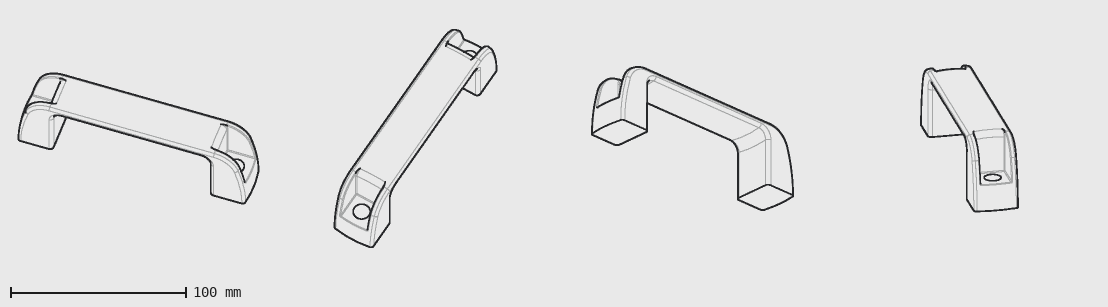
import cadquery as cq
import math

length = 138.8
width = 26.0
height = 41.0

shoulder_inset = 19.8
shoulder_radius = 16.0
crown_drop = 1.2
outer_round = 1.8

opening_length = 94.7
opening_height = 34.0
opening_corner = 5.5
inner_round = 2.2

pocket_back = 50.1
pocket_width = 18.0
pocket_floor = 16.0
pocket_round = 0.5
pocket_lip_round = 3.5
rim_round = 0.49

dome_offset = 58.5
dome_diameter = 9.7
dome_height = 1.2

half_length = length / 2
half_width = width / 2
margin = 1.4
small_gap = 0.1


def arc_middle(center, radius, start_angle, end_angle):
    angle = (start_angle + end_angle) / 2
    return (center[0] + radius * math.cos(angle), center[1] + radius * math.sin(angle))


def draw_outer_contour():
    """Leg, shoulder, grip, shoulder and leg, from foot to foot in the XZ plane."""
    leg_radius = (shoulder_inset**2 + height**2 - 2 * height * shoulder_radius) / (
        2 * (shoulder_inset - shoulder_radius)
    )
    leg_center = (half_length - leg_radius, 0)
    shoulder_center = (half_length - shoulder_inset, height - shoulder_radius)
    joint_angle = math.atan2(shoulder_center[1], shoulder_center[0] - leg_center[0])

    leg_middle = arc_middle(leg_center, leg_radius, 0, joint_angle)
    joint = (
        shoulder_center[0] + shoulder_radius * math.cos(joint_angle),
        shoulder_center[1] + shoulder_radius * math.sin(joint_angle),
    )
    shoulder_middle = arc_middle(shoulder_center, shoulder_radius, joint_angle, math.pi / 2)
    return (
        cq.Workplane("XZ")
        .moveTo(-half_length, 0)
        .threePointArc((-leg_middle[0], leg_middle[1]), (-joint[0], joint[1]))
        .threePointArc((-shoulder_middle[0], shoulder_middle[1]), (-shoulder_center[0], height))
        .lineTo(shoulder_center[0], height)
        .threePointArc(shoulder_middle, joint)
        .threePointArc(leg_middle, (half_length, 0))
    )


def make_crowned_block():
    """Solid block whose outer surface is crowned across the width and rounded at the sides."""
    block = draw_outer_contour().close().extrude(half_width, both=True)
    edge_x = crown_drop - half_length
    clear_x = -half_length - margin
    crown_cutter = (
        cq.Workplane("XY")
        .moveTo(edge_x, -half_width)
        .threePointArc((-half_length, 0), (edge_x, half_width))
        .lineTo(clear_x, half_width)
        .lineTo(clear_x, -half_width)
        .close()
        .sweep(draw_outer_contour())
    )
    crowned = block.cut(crown_cutter)
    return crowned.faces("<Y or >Y").edges().edges("not <Z").fillet(outer_round)


def make_opening():
    """Space between the legs; its sagging top leaves a crowned grip underside."""
    edge_z = opening_height + crown_drop
    opening = (
        cq.Workplane("YZ")
        .moveTo(-half_width, 0)
        .lineTo(-half_width, edge_z)
        .threePointArc((0, opening_height), (half_width, edge_z))
        .lineTo(half_width, 0)
        .close()
        .extrude(opening_length / 2, both=True)
    )
    return opening.faces("<X or >X").edges("%CIRCLE").fillet(opening_corner)


def make_grip():
    """Legs and grip with the edges around the opening rounded."""
    grip = make_crowned_block().cut(make_opening())
    return grip.edges(edges_within_opening()).fillet(inner_round)


def edges_within_opening():
    """Select the edges around the opening, apart from those on the feet."""
    reach_x = opening_length / 2 + small_gap
    reach_y = half_width + small_gap
    reach_z = opening_height + crown_drop + small_gap
    return cq.selectors.BoxSelector((-reach_x, -reach_y, small_gap), (reach_x, reach_y, reach_z))


def make_pocket_cutter(inner_x):
    """Box from inner_x out past the +X end of the handle, with its bottom on the pocket floor."""
    return (
        cq.Workplane("XY")
        .box(half_length + margin - inner_x, pocket_width, height, centered=(False, True, False))
        .translate((inner_x, 0, pocket_floor))
    )


def round_pocket_cutter(cutter):
    """Round the cutter along the pocket floor and the upright corners of the back wall."""
    back_wall = cq.selectors.BoxSelector(
        (pocket_back - small_gap, -half_width, 0),
        (pocket_back + small_gap, half_width, 2 * height),
    )
    corners = cutter.edges("|Z").edges(back_wall)
    return corners.add(cutter.faces("<Z").edges("not >X")).fillet(pocket_round)


def make_lip_body():
    """Crowned block between the pocket back walls, with its top end edge rounded at +X."""
    core = cq.Workplane("XY").box(2 * pocket_back, width, 2 * height)
    between_pockets = make_crowned_block().intersect(core)
    return between_pockets.faces(">X").edges(">Z").fillet(pocket_lip_round)


def make_pocket():
    """Plain pocket at the +X end."""
    return round_pocket_cutter(make_pocket_cutter(pocket_back))


def make_lipped_pocket():
    """The same pocket, with a back wall that curves over into the top of the grip."""
    inner_x = pocket_back - pocket_lip_round - margin
    return round_pocket_cutter(make_pocket_cutter(inner_x).cut(make_lip_body()))


def cut_pocket(body):
    """Sink the +X pocket, round its rim, then round off the top of its back wall."""
    reach_y = pocket_width / 2 + small_gap
    pocket_space = cq.selectors.BoxSelector(
        (pocket_back - small_gap, -reach_y, pocket_floor - small_gap),
        (half_length, reach_y, height),
    )
    sunk = body.cut(make_pocket())
    rimmed = sunk.edges(pocket_space).edges("%BSPLINE").fillet(rim_round)
    return rimmed.cut(make_lipped_pocket())


def make_dome():
    """Shallow spherical cap standing on the floor of the +X pocket."""
    dome_radius = dome_diameter / 2
    sphere_radius = (dome_radius**2 + dome_height**2) / (2 * dome_height)
    half_angle = math.asin(dome_radius / sphere_radius) / 2
    arc_point = (
        sphere_radius * math.sin(half_angle),
        dome_height - sphere_radius * (1 - math.cos(half_angle)),
    )
    return (
        cq.Workplane("XZ")
        .lineTo(0, dome_height)
        .threePointArc(arc_point, (dome_radius, 0))
        .close()
        .revolve(360, axisStart=(0, 0), axisEnd=(0, 1))
        .translate((dome_offset, 0, pocket_floor))
    )


finished_end = cut_pocket(make_grip()).union(make_dome())
half_space = cq.Workplane("XY").box(length, 2 * width, 4 * height, centered=(False, True, True))
right_half = finished_end.intersect(half_space)
result = right_half.union(right_half.mirror("YZ"))